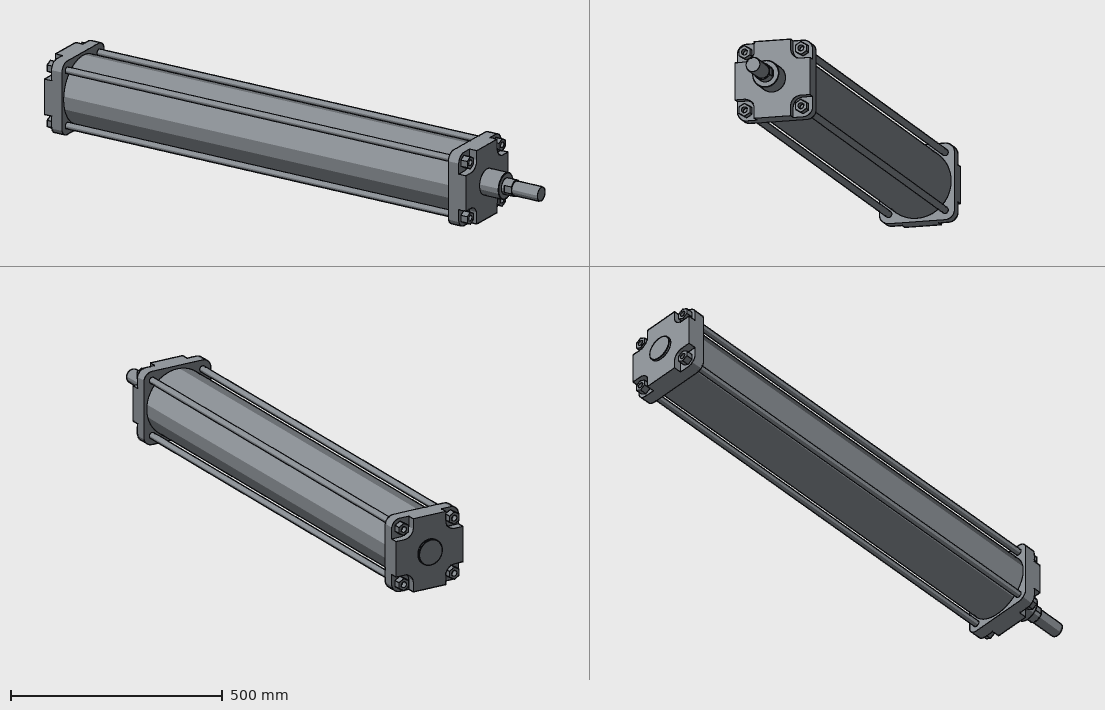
import cadquery as cq
import math


stroke = 1000
zero_stroke_length = 180
body_length = zero_stroke_length + stroke
rear_boss_length = 6
cap_length = 49
pocket_depth = 20
front_boss_length = 53
thread_length = 72
rod_reach = 152
collar_length = 7
thread_chamfer_length = 4

cap_size = 186
tie_rod_offset = 70
cap_corner_radius = cap_size / 2 - tie_rod_offset
pocket_edge = 45
pocket_radius = tie_rod_offset - pocket_edge
boss_diameter = 65
boss_chamfer = 1
tube_diameter = 170
rod_diameter = 40
thread_diameter = 36
thread_end_diameter = 34
flats_width = 36
tie_rod_diameter = 16
nut_width = 27
nut_length = 18
socket_diameter = 14
socket_depth = 16

rear_face = rear_boss_length
tube_start = rear_face + cap_length
front_face = rear_face + body_length
tube_end = front_face - cap_length
rod_start = front_face + front_boss_length
rod_tip = front_face + rod_reach
thread_start = rod_tip - thread_length
rear_pocket_floor = rear_face + pocket_depth
front_pocket_floor = front_face - pocket_depth

corners = [(y * tie_rod_offset, z * tie_rod_offset) for y in (-1, 1) for z in (-1, 1)]


def section(x):
    """Sketch plane across the cylinder at x: local X is +Y, local Y is +Z."""
    return cq.Workplane("YZ", origin=(x, 0, 0))


def cylinder(diameter, start, end):
    return section(start).circle(diameter / 2).extrude(end - start)


def cap(start, pocket_start):
    """Square cap with four corner pockets and through holes for the tie rods."""
    block = section(start).rect(cap_size, cap_size).extrude(cap_length)
    block = block.edges("|X").fillet(cap_corner_radius)
    holes = section(start).pushPoints(corners).circle(tie_rod_diameter / 2).extrude(cap_length)
    block = block.cut(holes)
    pocket_size = cap_size / 2 - pocket_edge + pocket_radius
    pocket_centre = pocket_edge + pocket_size / 2
    for y, z in corners:
        centre = (math.copysign(pocket_centre, y), math.copysign(pocket_centre, z))
        pocket = section(pocket_start).center(*centre).rect(pocket_size, pocket_size).extrude(pocket_depth)
        block = block.cut(pocket.edges("|X").fillet(pocket_radius))
    return block


def make_rear_cap():
    boss = cylinder(boss_diameter, 0, rear_face).faces("<X").chamfer(boss_chamfer)
    return cap(rear_face, rear_face).union(boss)


def make_front_cap():
    boss = cylinder(boss_diameter, front_face, rod_start).faces(">X").chamfer(boss_chamfer)
    return cap(tube_end, front_pocket_floor).union(boss)


def make_tube():
    return cylinder(tube_diameter, tube_start, tube_end)


def make_piston_rod():
    """Rod end with two wrench flats facing -Y and +Y, then a chamfered thread."""
    shank = cylinder(rod_diameter, rod_start, thread_start)
    flats_start = rod_start + collar_length
    flats = section(flats_start).rect(flats_width, rod_diameter).extrude(thread_start - flats_start)
    collar = cylinder(rod_diameter, rod_start, flats_start)
    shank = shank.intersect(collar.union(flats))
    end_radius = thread_end_diameter / 2
    radius = thread_diameter / 2
    thread = (
        cq.Workplane("XZ")
        .moveTo(thread_start, 0)
        .lineTo(thread_start, end_radius)
        .lineTo(thread_start + thread_chamfer_length, radius)
        .lineTo(rod_tip - thread_chamfer_length, radius)
        .lineTo(rod_tip, end_radius)
        .lineTo(rod_tip, 0)
        .close()
        .revolve(360, (0, 0), (1, 0))
    )
    return shank.union(thread)


def make_tie_rod(y, z):
    """Tie rod with a hexagon nut on each pocket floor, one nut corner up, and a hole in each nut."""
    rear_end = rear_pocket_floor - nut_length
    front_end = front_pocket_floor + nut_length
    tie_rod = cylinder(tie_rod_diameter, rear_end, front_end)
    nut_corners = nut_width / math.cos(math.pi / 6)
    for nut_start in (rear_end, front_pocket_floor):
        nut = section(nut_start).polygon(6, nut_corners).extrude(nut_length)
        tie_rod = tie_rod.union(nut.rotate((0, 0, 0), (1, 0, 0), 90))
    for socket_start in (rear_end, front_end - socket_depth):
        tie_rod = tie_rod.cut(cylinder(socket_diameter, socket_start, socket_start + socket_depth))
    return tie_rod.translate((0, y, z))


rear_cap = make_rear_cap()
front_cap = make_front_cap()
tube = make_tube()
piston_rod = make_piston_rod()
tie_rods = [make_tie_rod(y, z) for y, z in corners]

result = cq.Compound.makeCompound([
    rear_cap.val(),
    front_cap.val(),
    tube.val(),
    piston_rod.val(),
    *[tie_rod.val() for tie_rod in tie_rods],
])